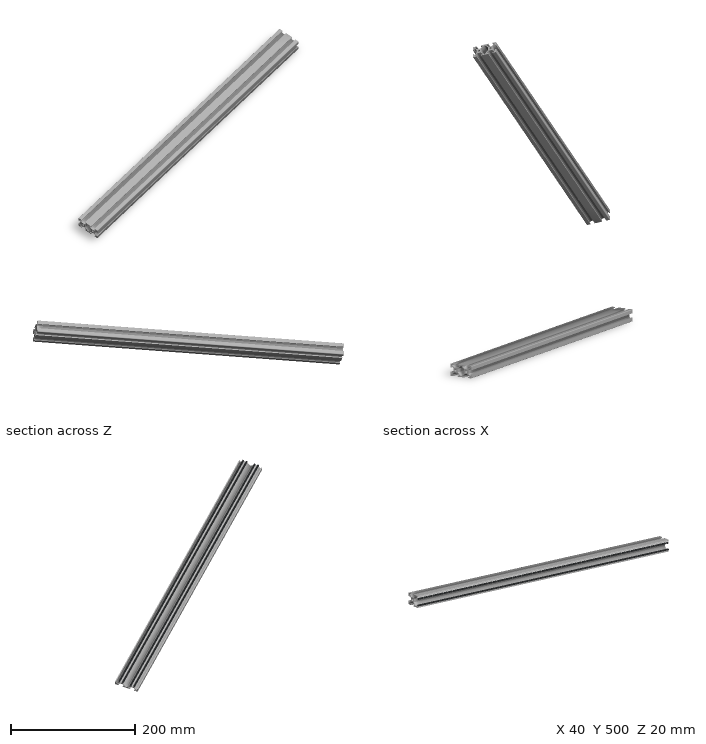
import cadquery as cq

LENGTH = 500.0
MODULE = 20.0
WIDTH = 2 * MODULE
HALF = MODULE / 2

MOUTH_HALF = 3.6
LIP = 1.65
UNDERCUT_HALF = 7.0
CORE_HALF = 4.0
WEB_OFFSET = 1.05
FLOOR_HALF = CORE_HALF - WEB_OFFSET

BORE_DIAMETER = 4.0
CORNER_RADIUS = 1.0

CAVITY_HALF_WIDTH = HALF - CORE_HALF
CAVITY_HALF_HEIGHT = HALF - LIP
CAVITY_WALL_HALF = HALF - WEB_OFFSET - CAVITY_HALF_WIDTH
CAVITY_TOP_HALF = HALF - WEB_OFFSET - CAVITY_HALF_HEIGHT

CELL_CENTRES = (-HALF, HALF)
OVERCUT = 5.0


def extrude_profile(sketch):
    """Extrude an XZ sketch over the full length, centred on Y = 0."""
    return sketch.extrude(LENGTH / 2, both=True)


def slot_cutter(cell_x, angle):
    """T-slot opening toward +Z, turned about its cell centre."""
    lip_back = HALF - LIP
    shoulder = UNDERCUT_HALF + WEB_OFFSET
    right_side = [
        (FLOOR_HALF, CORE_HALF),
        (UNDERCUT_HALF, shoulder),
        (UNDERCUT_HALF, lip_back),
        (MOUTH_HALF, lip_back),
        (MOUTH_HALF, HALF + OVERCUT),
    ]
    left_side = [(-x, z) for x, z in reversed(right_side)]
    cutter = extrude_profile(cq.Workplane("XZ").polyline(right_side + left_side).close())
    return cutter.rotate((0, 0, 0), (0, 1, 0), angle).translate((cell_x, 0, 0))


def cavity_cutter():
    """Eight-sided passage through the middle of the profile."""
    right_side = [
        (CAVITY_TOP_HALF, -CAVITY_HALF_HEIGHT),
        (CAVITY_HALF_WIDTH, -CAVITY_WALL_HALF),
        (CAVITY_HALF_WIDTH, CAVITY_WALL_HALF),
        (CAVITY_TOP_HALF, CAVITY_HALF_HEIGHT),
    ]
    left_side = [(-x, z) for x, z in reversed(right_side)]
    return extrude_profile(cq.Workplane("XZ").polyline(right_side + left_side).close())


result = cq.Workplane("XY").box(WIDTH, LENGTH, MODULE).edges("|Y").fillet(CORNER_RADIUS)

for cell_x in CELL_CENTRES:
    side_angle = 90 if cell_x > 0 else -90
    for angle in (0, 180, side_angle):
        result = result.cut(slot_cutter(cell_x, angle))
    bore = cq.Workplane("XZ").center(cell_x, 0).circle(BORE_DIAMETER / 2)
    result = result.cut(extrude_profile(bore))

result = result.cut(cavity_cutter())